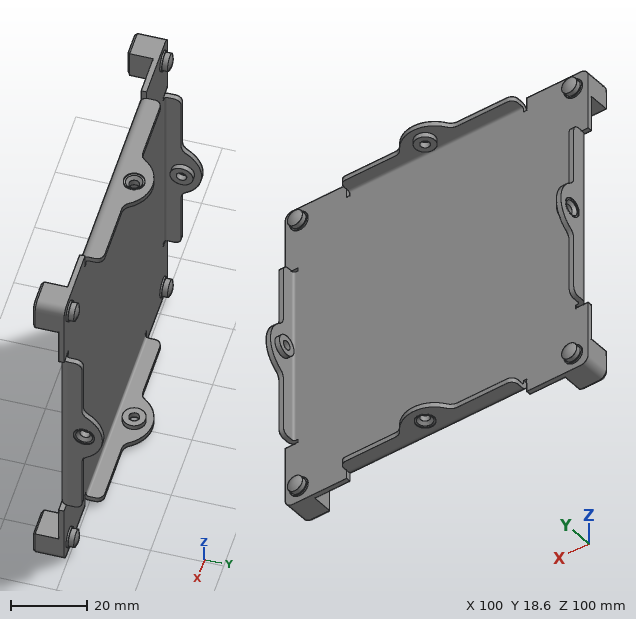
import cadquery as cq
import math

plate_side = 100.0
sheet = 1.5
half_side = plate_side / 2
corner_radius = 2.5

flange_inset = 1.35
flange_length = 57.4
flange_height = 6.0
flange_corner_radius = 2.0
bend_radius = 2.25
relief_gap = 1.0
relief_depth = 4.2
flange_outer_z = half_side - flange_inset

lug_radius = 9.25
lug_top_y = 11.58
lug_centre_y = lug_top_y - lug_radius
lug_blend_radius = 3.0

insert_y = 6.5
insert_diameter = 6.3
insert_height = 1.5
bore_diameter = 2.8
bore_mouth_diameter = 4.6
bore_mouth_depth = (bore_mouth_diameter - bore_diameter) / 2
recess_diameter = 5.7
recess_depth = 0.3

foot_side = 8.7
foot_front_y = -7.0
foot_bevel_height = 0.6
foot_outer_bevel = 0.4
foot_inner_bevel = 0.7

stud_inset = 4.75
collar_radius = 2.9
collar_height = 0.5
stud_radius = 2.5
stud_height = 2.0
dome_rise = 0.7


def four_around(shape):
    """The shape and its three quarter-turn copies about the Y axis, as one body."""
    body = shape
    for turn in (90, 180, 270):
        body = body.union(shape.rotate((0, 0, 0), (0, 1, 0), turn))
    return body


def make_plate():
    """Rounded square sheet with an edge cutout under each flange."""
    plate = cq.Workplane("XY").box(plate_side, sheet, plate_side, centered=(True, False, True))
    plate = plate.edges("|Y").fillet(corner_radius)
    cutout = cq.Workplane("XY").box(
        flange_length + 2 * relief_gap, sheet, relief_depth, centered=(True, False, False)
    )
    return plate.cut(four_around(cutout.translate((0, 0, half_side - relief_depth))))


def make_bent_strip():
    """L-shaped strip with a rounded bend, tall enough to include the lug."""
    inner_z = flange_outer_z - sheet
    bend_z = flange_outer_z - bend_radius
    root_z = half_side - relief_depth
    inner_bend = bend_radius - sheet
    diagonal = math.sqrt(0.5)
    return (
        cq.Workplane("YZ")
        .moveTo(0, root_z)
        .lineTo(0, bend_z)
        .threePointArc(
            (bend_radius * (1 - diagonal), bend_z + bend_radius * diagonal),
            (bend_radius, flange_outer_z),
        )
        .lineTo(lug_top_y, flange_outer_z)
        .lineTo(lug_top_y, inner_z)
        .lineTo(bend_radius, inner_z)
        .threePointArc(
            (bend_radius - inner_bend * diagonal, bend_z + inner_bend * diagonal),
            (sheet, bend_z),
        )
        .lineTo(sheet, root_z)
        .close()
        .extrude(flange_length / 2, both=True)
    )


def make_flange_outline():
    """Prism through the sheet with the flange's outline in X and Y, lug included."""
    half_length = flange_length / 2
    blend_y = flange_height + lug_blend_radius
    centre_distance = lug_radius + lug_blend_radius
    blend_x = math.sqrt(centre_distance**2 - (blend_y - lug_centre_y) ** 2)
    lug_share = lug_radius / centre_distance
    joint_x = blend_x * lug_share
    joint_y = lug_centre_y + (blend_y - lug_centre_y) * lug_share
    profile = (
        cq.Workplane("XY")
        .moveTo(-half_length, 0)
        .lineTo(half_length, 0)
        .lineTo(half_length, flange_height - flange_corner_radius)
        .radiusArc((half_length - flange_corner_radius, flange_height), -flange_corner_radius)
        .lineTo(blend_x, flange_height)
        .radiusArc((joint_x, joint_y), lug_blend_radius)
        .threePointArc((0, lug_top_y), (-joint_x, joint_y))
        .radiusArc((-blend_x, flange_height), lug_blend_radius)
        .lineTo(-half_length + flange_corner_radius, flange_height)
        .radiusArc((-half_length, flange_height - flange_corner_radius), -flange_corner_radius)
        .close()
    )
    return profile.extrude(half_side)


def insert_disc(diameter, depth, height):
    """Disc on the insert axis: starts at the given depth below the flange face, runs inwards."""
    return (
        cq.Workplane("XY", origin=(0, insert_y, flange_outer_z - depth))
        .circle(diameter / 2)
        .extrude(-height)
    )


def make_flange():
    """Folded flange with its lug and threaded insert."""
    flange = make_bent_strip().intersect(make_flange_outline())
    insert_depth = sheet + insert_height
    flange = flange.union(insert_disc(insert_diameter, sheet, insert_height))
    flange = flange.cut(insert_disc(recess_diameter, 0, recess_depth))
    flange = flange.cut(insert_disc(bore_diameter, 0, insert_depth))
    mouth = (
        cq.Workplane("XY", origin=(0, insert_y, flange_outer_z - recess_depth))
        .circle(bore_mouth_diameter / 2)
        .workplane(offset=-bore_mouth_depth)
        .circle(bore_diameter / 2)
        .loft()
    )
    return flange.cut(mouth)


def foot_section(y, outer_bevel, inner_bevel):
    """Foot outline at height y: a square with its outer corner rounded."""
    low = half_side - foot_side + inner_bevel
    high = half_side - outer_bevel
    radius = corner_radius - outer_bevel
    return (
        cq.Workplane("XZ", origin=(0, y, 0))
        .moveTo(low, low)
        .lineTo(high, low)
        .lineTo(high, high - radius)
        .radiusArc((high - radius, high), -radius)
        .lineTo(low, high)
        .close()
    )


def make_foot():
    """Corner foot with a bevelled front end and a domed stud on its back."""
    bevel_y = foot_front_y + foot_bevel_height
    block = foot_section(sheet, 0, 0).extrude(sheet - bevel_y)
    base_wire = foot_section(bevel_y, 0, 0).val()
    tip_wire = foot_section(foot_front_y, foot_outer_bevel, foot_inner_bevel).val()
    tip = cq.Workplane(cq.Solid.makeLoft([base_wire, tip_wire], True))
    return block.union(tip).union(make_stud())


def make_stud():
    """Collared stud with a domed end, turned about an axis parallel to Y."""
    dome_radius = (stud_radius**2 + dome_rise**2) / (2 * dome_rise)
    stud = (
        cq.Workplane("XY")
        .lineTo(collar_radius, 0)
        .lineTo(collar_radius, collar_height)
        .lineTo(stud_radius, collar_height)
        .lineTo(stud_radius, stud_height)
        .radiusArc((0, stud_height + dome_rise), -dome_radius)
        .close()
        .revolve(360, (0, 0, 0), (0, 1, 0))
    )
    stud_centre = half_side - stud_inset
    return stud.translate((stud_centre, sheet, stud_centre))


result = make_plate().union(four_around(make_flange())).union(four_around(make_foot()))